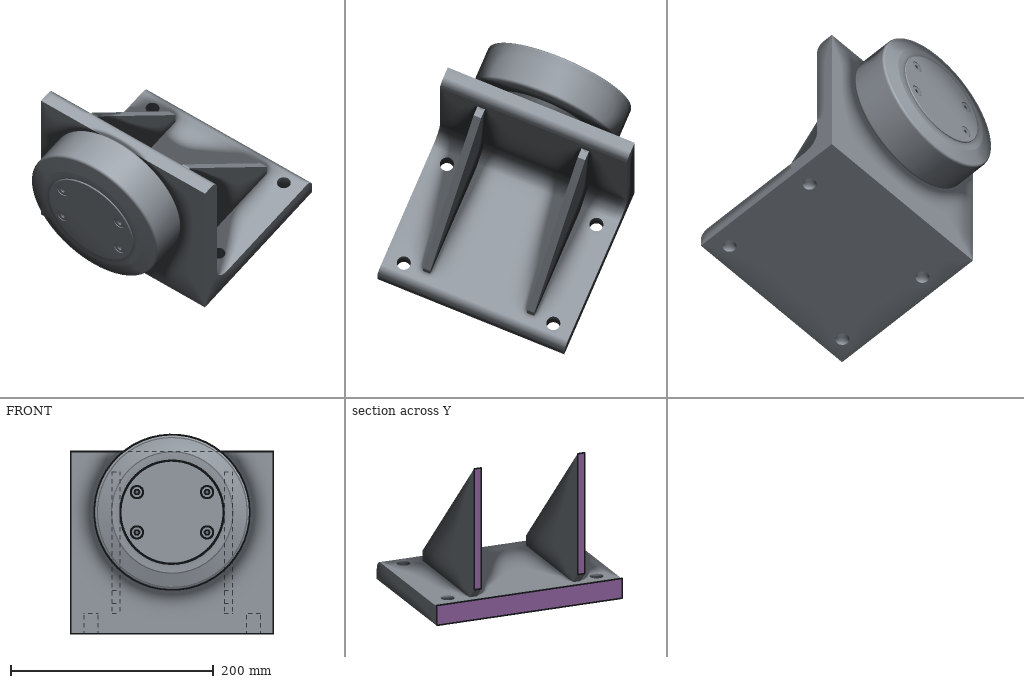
import cadquery as cq
import math

bracket_width = 200.0
leg_length = 180.0
leg_thickness = 20.1
toe_radius = 9.1
root_radius = 17.5

rib_thickness = 8.0
rib_spacing = 111.5
rib_reach = 160.0
rib_end_height = 10.0
rib_corner_cut = 22.7

mount_hole_diameter = 13.8
mount_hole_x = 80.0
mount_hole_rows = (50.0, 160.0)

wheel_diameter = 153.5
wheel_height = leg_length * 2 / 3
wheel_back = 7.5
wheel_back_radius = 3.0
tread_end = 46.3
shoulder_end = 49.1
shoulder_diameter = 148.0
wheel_front = 52.6
wheel_front_diameter = 119.8

neck_diameter = 103
neck_length = 6.8
spigot_diameter = 101.3
cover_diameter = 102.5
cover_front = 234 - leg_length
cover_chamfer = (cover_diameter - spigot_diameter) / 2

screw_x = 34.6
screw_z = 20.0
recess_diameter = 12.5
recess_depth = 7
head_diameter = 11.7
head_height = 6.5
socket_diameter = 5.1
socket_depth = 3.0


def make_bracket():
    """L-section with rounded toes and a filleted root, drilled for mounting."""
    section = (
        cq.Workplane("YZ")
        .polyline([
            (0, 0),
            (leg_length, 0),
            (leg_length, leg_thickness),
            (leg_thickness, leg_thickness),
            (leg_thickness, leg_length),
            (0, leg_length),
        ])
        .close()
        .extrude(bracket_width / 2, both=True)
    )
    base_toe = cq.selectors.NearestToPointSelector((0, leg_length, leg_thickness))
    wall_toe = cq.selectors.NearestToPointSelector((0, leg_thickness, leg_length))
    root = cq.selectors.NearestToPointSelector((0, leg_thickness, leg_thickness))
    section = section.edges(base_toe).fillet(toe_radius)
    section = section.edges(wall_toe).fillet(toe_radius)
    section = section.edges(root).fillet(root_radius)
    hole_centres = [(side * mount_hole_x, y) for side in (-1, 1) for y in mount_hole_rows]
    holes = (
        cq.Workplane("XY")
        .pushPoints(hole_centres)
        .circle(mount_hole_diameter / 2)
        .extrude(leg_thickness)
    )
    return section.cut(holes)


def make_rib(x_centre):
    """Triangular gusset with blunt ends and its inner corner cut off."""
    inner = leg_thickness
    blunt_end = leg_thickness + rib_end_height
    cut_end = leg_thickness + rib_corner_cut
    return (
        cq.Workplane("YZ", origin=(x_centre, 0, 0))
        .polyline([
            (cut_end, inner),
            (rib_reach, inner),
            (rib_reach, blunt_end),
            (blunt_end, rib_reach),
            (inner, rib_reach),
            (inner, cut_end),
        ])
        .close()
        .extrude(rib_thickness / 2, both=True)
    )


def make_wheel():
    """Wheel, neck and cover revolved about the axle, which runs along Y."""
    wheel_radius = wheel_diameter / 2
    bend = wheel_back_radius * (1 - math.sqrt(0.5))
    profile = (
        cq.Workplane("XY")
        .moveTo(0, 0)
        .lineTo(neck_diameter / 2, 0)
        .lineTo(neck_diameter / 2, -neck_length)
        .lineTo(spigot_diameter / 2, -neck_length)
        .lineTo(spigot_diameter / 2, -wheel_back)
        .lineTo(wheel_radius - wheel_back_radius, -wheel_back)
        .threePointArc(
            (wheel_radius - bend, -wheel_back - bend),
            (wheel_radius, -wheel_back - wheel_back_radius),
        )
        .lineTo(wheel_radius, -tread_end)
        .tangentArcPoint((shoulder_diameter / 2, -shoulder_end), relative=False)
        .lineTo(wheel_front_diameter / 2, -wheel_front)
        .lineTo(cover_diameter / 2, -wheel_front)
        .lineTo(cover_diameter / 2, -cover_front + cover_chamfer)
        .lineTo(spigot_diameter / 2, -cover_front)
        .lineTo(0, -cover_front)
        .close()
    )
    wheel = profile.revolve(360, (0, 0, 0), (0, 1, 0))
    return wheel.translate((0, 0, wheel_height))


def screw_plane(distance):
    """Screw centres on a plane the given distance ahead of the mounting face."""
    centres = [(side * screw_x, level * screw_z) for side in (-1, 1) for level in (-1, 1)]
    return cq.Workplane("XZ", origin=(0, -distance, wheel_height)).pushPoints(centres)


def add_screws(wheel):
    """Socket-head screws seated in round recesses in the cover."""
    recess_floor = cover_front - recess_depth
    head_top = recess_floor + head_height
    recesses = screw_plane(recess_floor).circle(recess_diameter / 2).extrude(recess_depth)
    heads = screw_plane(recess_floor).circle(head_diameter / 2).extrude(head_height)
    sockets = screw_plane(head_top).polygon(6, socket_diameter).extrude(-socket_depth)
    return wheel.cut(recesses).union(heads.cut(sockets))


result = make_bracket()
for side in (-1, 1):
    result = result.union(make_rib(side * rib_spacing / 2))
result = result.union(add_screws(make_wheel()))